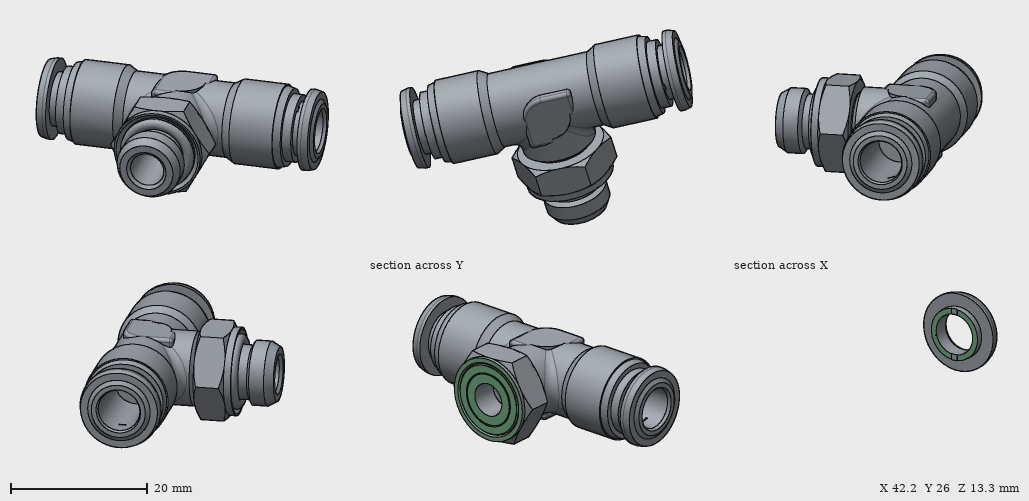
import cadquery as cq
import math

half_length = 21.1
body_radius = 6.3
tee_radius = 5.53
branch_end = 19.7

tee_half_length = 7.55
body_inner = 8.85
body_outer = 15.4
cap_outer = 16.55
cap_radii = (6.08, 5.8)
ring_outer = 17.95
ring_radius = 5.02
neck_radius = 4.05
collar_inner = 19.15
collar_crest = 19.7
collar_outer = 20.68
collar_radii = (6.05, 5.8)
nose_base_radius = 4.7
port_bore_radius = 3.12
port_bore_depth = 12.65
port_mouth_radius = 3.35
port_mouth_depth = 0.5
slit_width = 0.95
slit_length = 0.15
slit_turn = 18.0

branch_chamfer_start = 7.4
branch_tube_end = 8.0
nut_start = 8.2
nut_end = 12.75
swivel_radius = 4.65
nut_corner_radius = 7.533
nut_turn = 1.6
nut_face_radius = 6.55
nut_chamfer_angle = 30.0
flange_end = 13.8
seat_floor = 13.1
seal_end = 14.5
seat_rim_radius = 6.25
seat_floor_radius = 5.55
seal_thickness = 1.55
seal_outer_radius = 5.55
relief_end = 15.7
thread_start = 16.15
thread_radius = 4.8
thread_taper_start = 18.4
branch_bore_radius = 2.55
branch_bore_depth = 10.55
branch_bore_chamfer = 0.45

valley_radius = 1.48
pad_short = 3.55
pad_long = 4.55
pad_depth = 2.1
pad_edge_radius = 0.55


def turn_x(points):
    """Solid of revolution about X from (x, radius) points, closed along the axis."""
    outline = [(points[0][0], 0)] + points + [(points[-1][0], 0)]
    return cq.Workplane("XZ").polyline(outline).close().revolve(360, (0, 0, 0), (1, 0, 0))


def turn_branch(points):
    """Solid of revolution about -Y from (distance, radius) points."""
    return turn_x(points).rotate((0, 0, 0), (0, 0, 1), -90)


def make_pad():
    """Leaf-shaped flat on top of the tee, level with the crest of both tubes."""
    side = pad_short + pad_long
    offset = (pad_long - pad_short) / 2
    block = (
        cq.Workplane("XY", origin=(offset, -offset, tee_radius - pad_depth))
        .rect(side, side)
        .extrude(pad_depth)
        .edges("|Z and <X and >Y")
        .fillet(pad_short)
        .edges("|Z and >X or |Z and <Y")
        .fillet(pad_edge_radius)
        .faces(">Z")
        .edges()
        .fillet(pad_edge_radius)
    )
    plane = cq.Workplane("XY", origin=(0, 0, tee_radius - pad_depth))
    quadrant = plane.rect(side, -side, centered=False).extrude(pad_depth)
    disc_quarter = plane.circle(pad_short).extrude(pad_depth).intersect(quadrant)
    return block.cut(quadrant).union(disc_quarter)


def fillet_valleys(tee):
    """Round the two inside corners between the run and the branch."""
    for side in (-1, 1):
        corner = cq.selectors.BoxSelector(
            (side * pad_long, -pad_long, -pad_long),
            (side * tee_radius, -tee_radius, pad_long),
        )
        tee = tee.edges(corner).fillet(valley_radius)
    return tee


def make_tee():
    """Run and branch tubes with a pad on top and its half-turned twin below."""
    run = turn_x([(-tee_half_length, tee_radius), (tee_half_length, tee_radius)])
    branch = turn_branch([
        (0, tee_radius),
        (branch_chamfer_start, tee_radius),
        (branch_tube_end, swivel_radius),
        (nut_start, swivel_radius),
    ])
    pad = make_pad()
    tee = run.union(branch).union(pad).union(pad.rotate((0, 0, 0), (0, 1, 0), 180))
    return fillet_valleys(tee)


def make_port():
    """Tube port on the +X side: body, end cap, ring, release sleeve and push collar."""
    cap_base_radius, cap_rim_radius = cap_radii
    crest_radius, rim_radius = collar_radii
    return turn_x([
        (tee_half_length, tee_radius),
        (body_inner, body_radius),
        (body_outer, body_radius),
        (body_outer, cap_base_radius),
        (cap_outer, cap_rim_radius),
        (cap_outer, ring_radius),
        (ring_outer, ring_radius),
        (ring_outer, neck_radius),
        (collar_inner, neck_radius),
        (collar_inner, crest_radius),
        (collar_crest, crest_radius),
        (collar_outer, rim_radius),
        (collar_outer, nose_base_radius),
        (half_length, neck_radius),
    ])


def make_port_bore():
    """Blind tube socket with chamfered mouth, plus the slits across the sleeve."""
    socket = turn_x([
        (half_length - port_bore_depth, port_bore_radius),
        (half_length - port_mouth_depth, port_bore_radius),
        (half_length, port_mouth_radius),
    ])
    slits = (
        cq.Workplane("XY")
        .box(slit_length, slit_width, 2 * ring_radius)
        .translate((ring_outer + slit_length / 2, 0, 0))
    )
    return socket.union(slits)


def make_nut():
    """Hexagon turned slightly about the branch, with both ends chamfered."""
    drop = (nut_corner_radius - nut_face_radius) * math.tan(math.radians(nut_chamfer_angle))
    hexagon = (
        cq.Workplane("XZ", origin=(0, -nut_start, 0))
        .polygon(6, 2 * nut_corner_radius)
        .extrude(nut_end - nut_start)
        .rotate((0, 0, 0), (0, 1, 0), -nut_turn)
    )
    envelope = turn_branch([
        (nut_start, nut_face_radius),
        (nut_start + drop, nut_corner_radius),
        (nut_end - drop, nut_corner_radius),
        (nut_end, nut_face_radius),
    ])
    return hexagon.intersect(envelope)


def make_stud():
    """Flange with its seal seat, the O-ring, the relief and the thread."""
    stud = turn_branch([
        (nut_end, nut_face_radius),
        (flange_end, nut_face_radius),
        (flange_end, seat_rim_radius),
        (seat_floor, seat_floor_radius),
        (seat_floor, neck_radius),
        (relief_end, neck_radius),
        (thread_start, thread_radius),
        (thread_taper_start, thread_radius),
        (branch_end, neck_radius),
    ])
    seal_radius = seal_thickness / 2
    seal = (
        cq.Workplane("YZ")
        .moveTo(seal_radius - seal_end, seal_outer_radius - seal_radius)
        .circle(seal_radius)
        .revolve(360, (0, 0), (1, 0))
    )
    return stud.union(seal)


def make_branch_bore():
    """Blind passage from the branch tip with a chamfered mouth."""
    return turn_branch([
        (branch_end - branch_bore_depth, branch_bore_radius),
        (branch_end - branch_bore_chamfer, branch_bore_radius),
        (branch_end, branch_bore_radius + branch_bore_chamfer),
    ])


port = make_port().cut(make_port_bore())
turned_port = port.rotate((0, 0, 0), (1, 0, 0), slit_turn)

result = (
    make_tee()
    .union(turned_port)
    .union(port.mirror("YZ"))
    .union(make_nut())
    .union(make_stud())
    .cut(make_branch_bore())
)